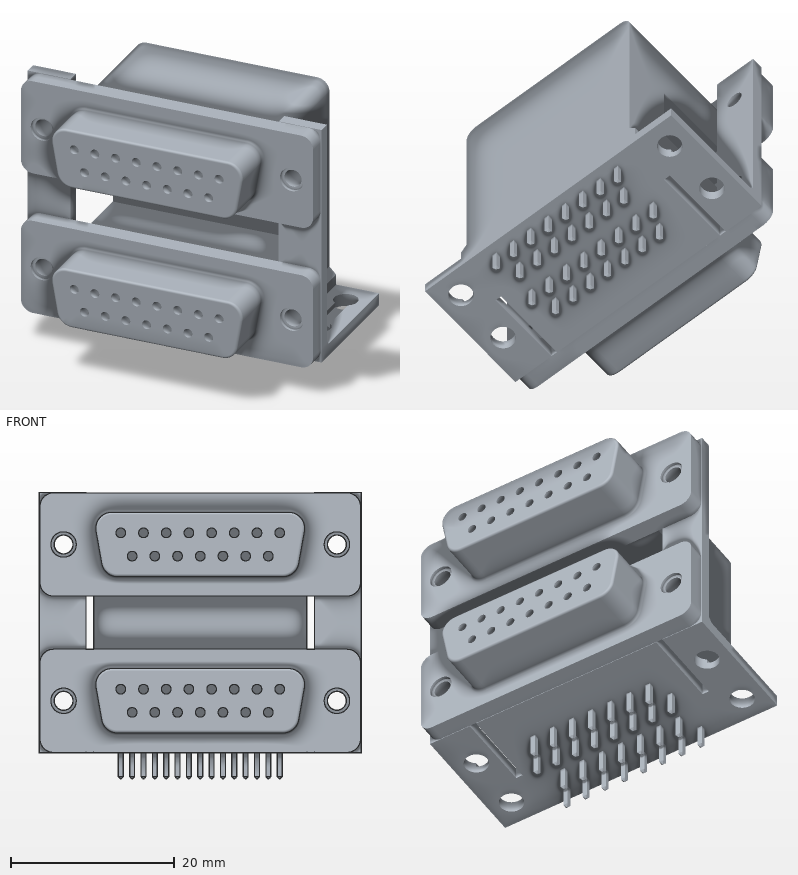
import cadquery as cq
import math


overall_width = 39.32
bracket_height = 31.77
bracket_depth = 17.1
bracket_thickness = 1.6
bracket_width = 5.75
bracket_inner_chamfer = 0.55
bracket_center_x = 16.67

foot_hole_diameter = 3.1
foot_hole_pitch = 8.0
rear_foot_hole_y = bracket_depth - 3.25
foot_groove_width = 1.73
foot_groove_depth = 0.6

housing_width = 26.03
housing_height = 29.4
housing_corner_radius = 1.6
rear_wall_thickness = 6.53
opening_bottom = 10.4
opening_top = 19.8
rib_height = 3.9

connector_spacing = 19.07
flange_width = 39.1
flange_height = 12.6
flange_thickness = 2.3
flange_corner_radius = 1.6
screw_hole_diameter = 2.3
screw_recess_diameter = 3.1
screw_recess_depth = 0.45

shell_length = 6.05
shell_height = 7.85
shell_top_width = 26.23
shell_side_angle = 10.0
shell_corner_radius = 1.95
shell_base_radius = 0.3
shell_front_radius = 0.3

long_row_count = 8
long_row_span = 19.4
contact_pitch = long_row_span / (long_row_count - 1)
contact_row_spacing = 2.85
socket_diameter = 1.18
socket_depth = 3.95
pin_width = 0.63
pin_length = 3.2
pin_tip_height = 0.28
pin_tip_width = 0.08
rear_pin_y = bracket_depth - 1.65
pin_group_spacing = 6.75

connector_heights = [
    bracket_height / 2 - connector_spacing / 2,
    bracket_height / 2 + connector_spacing / 2,
]


def box(x_range, y_range, z_range):
    """Box spanning the given (low, high) range on each axis."""
    sizes = [high - low for low, high in (x_range, y_range, z_range)]
    return (
        cq.Workplane("XY")
        .box(*sizes, centered=False)
        .translate((x_range[0], y_range[0], z_range[0]))
    )


def row_positions(count):
    """X positions of one contact row, centred on the part."""
    return [(i - (count - 1) / 2) * contact_pitch for i in range(count)]


def make_housing():
    half_width = housing_width / 2
    housing = (
        box((-half_width, half_width), (0, bracket_depth), (0, housing_height))
        .edges("|Y and >Z")
        .fillet(housing_corner_radius)
    )
    opening = box(
        (-half_width, half_width),
        (0, bracket_depth - rear_wall_thickness),
        (opening_bottom, opening_top),
    )
    return housing.cut(opening)


def make_right_bracket():
    outer_x = overall_width / 2
    inner_x = outer_x - bracket_width
    bracket = (
        cq.Workplane("YZ")
        .polyline([
            (0, 0),
            (bracket_depth, 0),
            (bracket_depth, bracket_thickness),
            (bracket_thickness + bracket_inner_chamfer, bracket_thickness),
            (bracket_thickness, bracket_thickness + bracket_inner_chamfer),
            (bracket_thickness, bracket_height),
            (0, bracket_height),
        ])
        .close()
        .extrude(bracket_width)
        .translate((inner_x, 0, 0))
    )

    front_foot_hole_y = rear_foot_hole_y - foot_hole_pitch
    foot_holes = (
        cq.Workplane("XY")
        .pushPoints([(bracket_center_x, front_foot_hole_y), (bracket_center_x, rear_foot_hole_y)])
        .circle(foot_hole_diameter / 2)
        .extrude(bracket_thickness)
    )
    foot_groove = box(
        (bracket_center_x - foot_groove_width / 2, bracket_center_x + foot_groove_width / 2),
        (front_foot_hole_y, rear_foot_hole_y),
        (bracket_thickness - foot_groove_depth, bracket_thickness),
    )

    housing_x = housing_width / 2
    rib_outer_height = rib_height - (inner_x - housing_x)
    rib = (
        cq.Workplane("XZ", origin=(0, bracket_depth, 0))
        .polyline([(housing_x, 0), (inner_x, 0), (inner_x, rib_outer_height), (housing_x, rib_height)])
        .close()
        .extrude(rear_wall_thickness)
    )
    return bracket.cut(foot_holes).cut(foot_groove).union(rib)


def make_connector():
    """Flange and socket shell centred on Z = 0, pointing toward -Y."""
    flange = (
        cq.Workplane("XZ")
        .rect(flange_width, flange_height)
        .extrude(flange_thickness)
        .edges("|Y")
        .fillet(flange_corner_radius)
    )

    top_x = shell_top_width / 2
    bottom_x = top_x - shell_height * math.tan(math.radians(shell_side_angle))
    half_height = shell_height / 2
    shell = (
        cq.Workplane("XZ", origin=(0, -flange_thickness, 0))
        .polyline([
            (-top_x, half_height),
            (top_x, half_height),
            (bottom_x, -half_height),
            (-bottom_x, -half_height),
        ])
        .close()
        .extrude(shell_length)
        .edges("|Y")
        .fillet(shell_corner_radius)
        .faces("<Y")
        .edges()
        .fillet(shell_front_radius)
    )

    margin = 0.05
    shell_base = cq.selectors.BoxSelector(
        (-top_x - margin, -flange_thickness - margin, -half_height - margin),
        (top_x + margin, -flange_thickness + margin, half_height + margin),
    )
    return flange.union(shell).edges(shell_base).fillet(shell_base_radius)


def make_sockets():
    """Cutters for the two socket rows of one connector, centred on Z = 0."""
    half_spacing = contact_row_spacing / 2
    centers = [(x, half_spacing) for x in row_positions(long_row_count)]
    centers += [(x, -half_spacing) for x in row_positions(long_row_count - 1)]
    return (
        cq.Workplane("XZ", origin=(0, socket_depth - flange_thickness - shell_length, 0))
        .pushPoints(centers)
        .circle(socket_diameter / 2)
        .extrude(socket_depth)
    )


def make_screw_holes():
    """Cutters for the recessed screw holes of one connector, centred on Z = 0."""
    centers = [(-bracket_center_x, 0), (bracket_center_x, 0)]
    through_holes = (
        cq.Workplane("XZ", origin=(0, bracket_thickness, 0))
        .pushPoints(centers)
        .circle(screw_hole_diameter / 2)
        .extrude(bracket_thickness + flange_thickness)
    )
    recesses = (
        cq.Workplane("XZ", origin=(0, screw_recess_depth - flange_thickness, 0))
        .pushPoints(centers)
        .circle(screw_recess_diameter / 2)
        .extrude(screw_recess_depth)
    )
    return through_holes.union(recesses)


def make_pins():
    """Square solder pins with tapered tips, in alternating long and short rows."""
    centers = []
    for group_y in (rear_pin_y, rear_pin_y - pin_group_spacing):
        centers += [(x, group_y) for x in row_positions(long_row_count)]
        centers += [(x, group_y - contact_row_spacing) for x in row_positions(long_row_count - 1)]

    shank_length = pin_length - pin_tip_height
    pin = (
        cq.Workplane("XY")
        .rect(pin_width, pin_width)
        .extrude(-shank_length)
        .faces("<Z")
        .workplane()
        .rect(pin_width, pin_width)
        .workplane(offset=pin_tip_height)
        .rect(pin_tip_width, pin_tip_width)
        .loft()
    )
    return [pin.translate((x, y, 0)) for x, y in centers]


right_bracket = make_right_bracket()
result = make_housing().union(right_bracket).union(right_bracket.mirror("YZ"))

for height in connector_heights:
    result = result.union(make_connector().translate((0, 0, height)))
    result = result.cut(make_sockets().translate((0, 0, height)))
    result = result.cut(make_screw_holes().translate((0, 0, height)))

for pin in make_pins():
    result = result.union(pin)